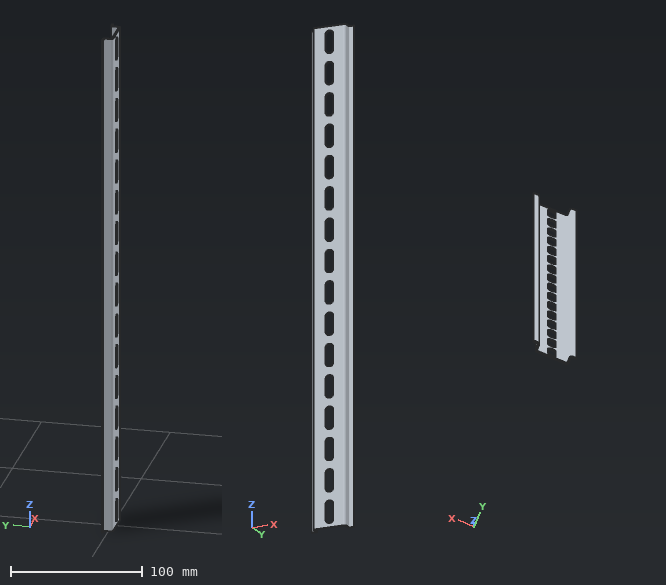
import cadquery as cq

length = 400.0
width = 35.0
depth = 7.5
web_width = 27.0
sheet = 1.1
inner_radius = 1.0
outer_radius = inner_radius + sheet

slot_count = 16
slot_pitch = length / slot_count
slot_length = 18.0
slot_width = 6.5


def rail_profile():
    """Outline of the bent sheet, symmetric about the YZ plane."""
    half_width = width / 2
    half_web = web_width / 2
    back = -depth / 2
    front = depth / 2
    right_half = [
        (half_web, back),
        (half_web, front - sheet),
        (half_width, front - sheet),
        (half_width, front),
        (half_web - sheet, front),
        (half_web - sheet, back + sheet),
    ]
    left_half = [(-x, y) for x, y in reversed(right_half)]
    return cq.Workplane("XY").polyline(right_half + left_half).close()


def rail_body():
    """Extruded profile with concentric inside and outside bend radii."""
    body = rail_profile().extrude(length / 2, both=True)
    half_web = web_width / 2
    outer_corners = []
    inner_corners = []
    for side in (-1, 1):
        outer_corners += [
            (side * half_web, -depth / 2),
            (side * (half_web - sheet), depth / 2),
        ]
        inner_corners += [
            (side * (half_web - sheet), -depth / 2 + sheet),
            (side * half_web, depth / 2 - sheet),
        ]
    for corners, radius in ((inner_corners, inner_radius), (outer_corners, outer_radius)):
        for x, y in corners:
            body = body.edges(cq.NearestToPointSelector((x, y, 0))).fillet(radius)
    return body


def web_slots():
    """Evenly pitched round-ended slots through the web."""
    return (
        cq.Workplane("XZ")
        .rarray(4, slot_pitch, 1, slot_count)
        .slot2D(slot_length, slot_width, 90)
        .extrude(depth, both=True)
    )


result = rail_body().cut(web_slots())